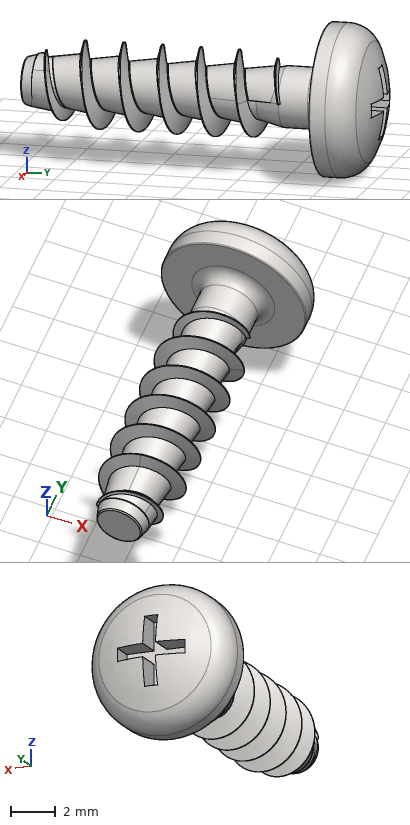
import cadquery as cq
import math


head_diameter = 7.0
dome_height = 2.667
side_height = 0.75
shoulder_radius = 1.4
rim_radius = 0.05
neck_radius = 0.6

recess_width = 0.63
recess_span = 3.3
recess_depth = 1.3

shank_diameter = 2.8
shank_length = 14.0
core_start = 1.95
lead_cone_length = 1.1
core_radius = 1.13
ramp_top_radius = 1.35
ramp_end_radius = 1.15
ramp_length = 1.49
tip_radius = 1.09
tip_chamfer = 0.06
tip_cone_length = 0.55
tip_cone_radius = 1.23

thread_radius = 2.0
pitch = 1.785
crest_width = 0.05
flank_angle = 15.0
thread_start = 1.93
first_crest_radius = 1.57
lead_in_turns = 1.0
crest_run_out_turns = 1.5
ramp_run_out_turns = 0.65
thread_turns = 6.75
last_crest_radius = 1.18
points_per_turn = 24

foot_radius = core_radius - 0.2
foot_length = 1.25

head_radius = head_diameter / 2
shank_radius = shank_diameter / 2


def arc_point(center, radius, angle):
    """Point of a circle in the (radius, depth) plane; 0 is outward, 90 towards the head top."""
    return (
        center[0] + radius * math.cos(math.radians(angle)),
        center[1] - radius * math.sin(math.radians(angle)),
    )


def revolve_about_axis(outline):
    """Solid of revolution of an outline drawn in the (radius, depth) plane."""
    return outline.close().revolve(360, (0, 0), (0, 1)).rotate((0, 0, 0), (1, 0, 0), 90)


def make_body():
    """Domed head, filleted neck, plain shank, lead cone and overlong round core in one revolved profile."""
    shoulder_center = (head_radius - shoulder_radius, -side_height)
    apex_above_center = dome_height - side_height
    dome_radius = (shoulder_center[0] ** 2 + apex_above_center**2 - shoulder_radius**2) / (
        2 * (apex_above_center - shoulder_radius)
    )
    dome_center = (0, dome_radius - dome_height)
    tangent_angle = math.degrees(
        math.atan2(dome_center[1] - shoulder_center[1], shoulder_center[0])
    )
    neck_center = (shank_radius + neck_radius, neck_radius)
    rim_center = (head_radius - rim_radius, -rim_radius)

    outline = (
        cq.Workplane("XY")
        .moveTo(0, -dome_height)
        .threePointArc(
            arc_point(dome_center, dome_radius, (90 + tangent_angle) / 2),
            arc_point(dome_center, dome_radius, tangent_angle),
        )
        .threePointArc(
            arc_point(shoulder_center, shoulder_radius, tangent_angle / 2),
            arc_point(shoulder_center, shoulder_radius, 0),
        )
        .lineTo(head_radius, -rim_radius)
        .threePointArc(arc_point(rim_center, rim_radius, -45), (head_radius - rim_radius, 0))
        .lineTo(neck_center[0], 0)
        .threePointArc(arc_point(neck_center, neck_radius, 135), (shank_radius, neck_radius))
        .lineTo(shank_radius, core_start)
        .lineTo(core_radius, core_start + lead_cone_length)
        .lineTo(core_radius, shank_length + pitch)
        .lineTo(0, shank_length + pitch)
    )
    return revolve_about_axis(outline)


def make_recess():
    """Cross of two straight slots with a flat floor."""
    arm = cq.Workplane("XY", origin=(0, 0, -dome_height)).rect(recess_span, recess_width)
    arm = arm.extrude(recess_depth)
    return arm.union(arm.rotate((0, 0, 0), (0, 0, 1), 90))


def crest_radius(turn):
    """Crest radius: rising over the lead-in, then full, then falling to the core at the tip."""
    rise = turn / lead_in_turns
    fall = (thread_turns - turn) / crest_run_out_turns
    lead_in = first_crest_radius + (thread_radius - first_crest_radius) * rise
    run_out = last_crest_radius + (thread_radius - last_crest_radius) * fall
    return min(lead_in, thread_radius, run_out)


def ramp_radius(turn):
    """Radius where the core ramp leaves the tooth, falling to the core at the tip."""
    fall = (thread_turns - turn) / ramp_run_out_turns
    return ramp_end_radius + (ramp_top_radius - ramp_end_radius) * min(1, fall)


def thread_section(turn):
    """Corners (radius, depth from the crest) of one tooth and of the core ramp behind it."""
    crest = crest_radius(turn)
    ramp = ramp_radius(turn)
    half_crest = crest_width / 2
    flank_run = math.tan(math.radians(flank_angle))
    return [
        (foot_radius, -half_crest - (crest - foot_radius) * flank_run),
        (crest, -half_crest),
        (crest, half_crest),
        (ramp, half_crest + (crest - ramp) * flank_run),
        (ramp_end_radius, ramp_length),
        (foot_radius, foot_length),
    ]


def helix_point(turn, radius, depth_from_crest):
    """Point of a right-handed helix that advances towards the tip and starts on +X."""
    angle = 2 * math.pi * turn
    depth = thread_start + turn * pitch + depth_from_crest
    return cq.Vector(radius * math.cos(angle), radius * math.sin(angle), depth)


def make_thread():
    """Helical bar bounded by ruled faces between the helices of the section corners."""

    def section_points(turn):
        return [helix_point(turn, *corner) for corner in thread_section(turn)]

    stretch_ends = [
        0,
        lead_in_turns,
        thread_turns - crest_run_out_turns,
        thread_turns - ramp_run_out_turns,
        thread_turns,
    ]
    faces = []
    for first, last in zip(stretch_ends, stretch_ends[1:]):
        steps = math.ceil((last - first) * points_per_turn)
        sections = [section_points(first + (last - first) * k / steps) for k in range(steps + 1)]
        edges = [cq.Edge.makeSpline(list(points)) for points in zip(*sections)]
        faces += [cq.Face.makeRuledSurface(a, b) for a, b in zip(edges, edges[1:] + edges[:1])]
    for turn in (0, thread_turns):
        faces.append(cq.Face.makeFromWires(cq.Wire.makePolygon(section_points(turn), close=True)))
    return cq.Workplane(cq.Solid.makeSolid(cq.Shell.makeShell(faces)).fix())


def make_tip_trim():
    """Space around and beyond the flat tip, which cuts core and thread to length and shape."""
    end = shank_length + 2 * pitch
    outline = (
        cq.Workplane("XY")
        .moveTo(0, shank_length)
        .lineTo(tip_radius - tip_chamfer, shank_length)
        .lineTo(tip_radius, shank_length - tip_chamfer)
        .lineTo(tip_cone_radius, shank_length - tip_cone_length)
        .lineTo(thread_radius, shank_length - tip_cone_length)
        .lineTo(thread_radius, end)
        .lineTo(0, end)
    )
    return revolve_about_axis(outline)


screw = make_body().union(make_thread())
screw = screw.cut(make_tip_trim()).cut(make_recess())

result = screw.rotate((0, 0, 0), (1, 0, 0), 90)